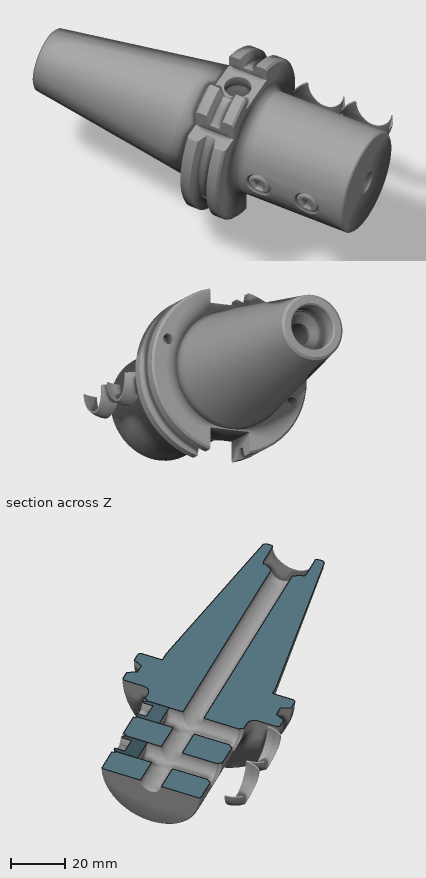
import cadquery as cq
import math

TOTAL_LENGTH = 133.4

TAPER_LENGTH = 68.5
GAUGE_RADIUS = 22.3
TAPER_SLOPE = 7 / 48
TAPER_END_CHAMFER = 0.8

FLANGE_START = 71.6
FLANGE_WIDTH = 15.7
FLANGE_RADIUS = 31.7
FLANGE_CHAMFER = 0.8
GROOVE_RADIUS = 28.1
GROOVE_FLOOR_WIDTH = 3.6
GROOVE_MOUTH_WIDTH = 6.8

SLOT_WIDTH = 16.0
UPPER_SLOT_FLOOR = 25.1
LOWER_SLOT_FLOOR = 22.5
NOTCH_OFFSET = 18.5
CHIP_RADIUS = 5.1
CHIP_DEPTH = 4.5

COOLANT_RADIUS = 2.0
COOLANT_DEPTH = 5.3
COOLANT_Y = 25.3
COOLANT_Z = 9.3
COOLANT_OUTLET_RADIUS = 1.6

NOSE_RADIUS = 20.0
NECK_FILLET = 3.0
NOSE_CHAMFER = 0.5

PILOT_RADIUS = 8.5
PILOT_CHAMFER = 0.5
PILOT_DEPTH = 9.3
RELIEF_RADIUS = 8.3
RELIEF_DEPTH = 10.1
DRILL_RADIUS = 7.1
THROUGH_RADIUS = 4.1

DRILL_HALF_ANGLE = 59

SCREW_PITCH = 20.0
FIRST_SCREW_X = 98.5
SCREW_COUNT = 2
SCREW_RADIUS = 4.4
SCREW_CHAMFER = 0.7
SCREW_LENGTH = 10.0
SCREW_FACE_Y = -19.7
SINK_RADIUS = 5.2
SINK_DEPTH = 0.8
HEX_ACROSS_FLATS = 5.1
HEX_DEPTH = 4.0

CUP_RADIUS = 10.1
CUP_WALL = 0.5
CUP_BASE_Y = 27.7
CUP_OUTER_RADIUS = 34.0

FLANGE_END = FLANGE_START + FLANGE_WIDTH
FLANGE_MIDDLE = FLANGE_START + FLANGE_WIDTH / 2
SCREW_CENTRES = [FIRST_SCREW_X + i * SCREW_PITCH for i in range(SCREW_COUNT)]


def cylinder(radius, length, start, direction):
    return cq.Workplane(cq.Solid.makeCylinder(radius, length, cq.Vector(*start), cq.Vector(*direction)))


def cone(start_radius, end_radius, length, start, direction):
    return cq.Workplane(
        cq.Solid.makeCone(start_radius, end_radius, length, cq.Vector(*start), cq.Vector(*direction))
    )


def revolved_about_x(points):
    return cq.Workplane("XY").polyline(points).close().revolve(360, (0, 0, 0), (1, 0, 0))


def drill_point_length(radius):
    return radius / math.tan(math.radians(DRILL_HALF_ANGLE))


def outer_form():
    small_radius = GAUGE_RADIUS - TAPER_LENGTH * TAPER_SLOPE
    groove_floor = GROOVE_FLOOR_WIDTH / 2
    groove_mouth = GROOVE_MOUTH_WIDTH / 2
    rim = FLANGE_RADIUS - FLANGE_CHAMFER
    fillet_drop = NECK_FILLET * math.sqrt(0.5)
    profile = (
        cq.Workplane("XY")
        .moveTo(0, 0)
        .lineTo(0, small_radius - TAPER_END_CHAMFER)
        .lineTo(TAPER_END_CHAMFER, small_radius + TAPER_END_CHAMFER * TAPER_SLOPE)
        .lineTo(TAPER_LENGTH, GAUGE_RADIUS)
        .lineTo(FLANGE_START, GAUGE_RADIUS)
        .lineTo(FLANGE_START, rim)
        .lineTo(FLANGE_START + FLANGE_CHAMFER, FLANGE_RADIUS)
        .lineTo(FLANGE_MIDDLE - groove_mouth, FLANGE_RADIUS)
        .lineTo(FLANGE_MIDDLE - groove_floor, GROOVE_RADIUS)
        .lineTo(FLANGE_MIDDLE + groove_floor, GROOVE_RADIUS)
        .lineTo(FLANGE_MIDDLE + groove_mouth, FLANGE_RADIUS)
        .lineTo(FLANGE_END - FLANGE_CHAMFER, FLANGE_RADIUS)
        .lineTo(FLANGE_END, rim)
        .lineTo(FLANGE_END, NOSE_RADIUS + NECK_FILLET)
        .threePointArc(
            (FLANGE_END + NECK_FILLET - fillet_drop, NOSE_RADIUS + NECK_FILLET - fillet_drop),
            (FLANGE_END + NECK_FILLET, NOSE_RADIUS),
        )
        .lineTo(TOTAL_LENGTH - NOSE_CHAMFER, NOSE_RADIUS)
        .lineTo(TOTAL_LENGTH, NOSE_RADIUS - NOSE_CHAMFER)
        .lineTo(TOTAL_LENGTH, 0)
        .close()
    )
    return profile.revolve(360, (0, 0, 0), (1, 0, 0))


def axial_bore():
    cone_length = drill_point_length(DRILL_RADIUS - THROUGH_RADIUS)
    return revolved_about_x([
        (0, 0),
        (0, PILOT_RADIUS + PILOT_CHAMFER),
        (PILOT_CHAMFER, PILOT_RADIUS),
        (PILOT_DEPTH, PILOT_RADIUS),
        (PILOT_DEPTH, RELIEF_RADIUS),
        (RELIEF_DEPTH, RELIEF_RADIUS),
        (RELIEF_DEPTH, DRILL_RADIUS),
        (RELIEF_DEPTH + cone_length, THROUGH_RADIUS),
        (TOTAL_LENGTH, THROUGH_RADIUS),
        (TOTAL_LENGTH, 0),
    ])


def flange_block(y_min, y_max, z_min, z_max):
    block = cq.Workplane("XY").box(FLANGE_WIDTH, y_max - y_min, z_max - z_min, centered=False)
    return block.translate((FLANGE_START, y_min, z_min))


def flange_cutouts():
    half_slot = SLOT_WIDTH / 2
    upper_slot = flange_block(-half_slot, half_slot, UPPER_SLOT_FLOOR, FLANGE_RADIUS)
    lower_slot = flange_block(-half_slot, half_slot, -FLANGE_RADIUS, -LOWER_SLOT_FLOOR)
    notch = flange_block(-FLANGE_RADIUS, -NOTCH_OFFSET, NOTCH_OFFSET, FLANGE_RADIUS)
    chip_pocket = cylinder(CHIP_RADIUS, CHIP_DEPTH, (FLANGE_MIDDLE, 0, UPPER_SLOT_FLOOR), (0, 0, -1))
    return [upper_slot, lower_slot, notch, chip_pocket]


def coolant_hole(side):
    """Blind drilled hole from the flange face, whose point meets a cross outlet in the groove floor."""
    y = side * COOLANT_Y
    z = side * COOLANT_Z
    inlet = cylinder(COOLANT_RADIUS, COOLANT_DEPTH, (FLANGE_START, y, z), (1, 0, 0))
    point = cone(
        COOLANT_RADIUS,
        0,
        drill_point_length(COOLANT_RADIUS),
        (FLANGE_START + COOLANT_DEPTH, y, z),
        (1, 0, 0),
    )
    outlet = cylinder(
        COOLANT_OUTLET_RADIUS, FLANGE_RADIUS - COOLANT_Y, (FLANGE_MIDDLE, y, z), (0, side, 0)
    )
    return inlet.union(point).union(outlet)


def screw_hole(x):
    """Cross hole right through the nose, counterbored and then tapered in at both ends."""
    hole = cylinder(SCREW_RADIUS, 2 * NOSE_RADIUS, (x, -NOSE_RADIUS, 0), (0, 1, 0))
    for side in (-1, 1):
        inward = (0, -side, 0)
        counterbore = cylinder(SINK_RADIUS, SINK_DEPTH, (x, side * NOSE_RADIUS, 0), inward)
        taper = cone(
            SINK_RADIUS,
            SCREW_RADIUS,
            SINK_RADIUS - SCREW_RADIUS,
            (x, side * (NOSE_RADIUS - SINK_DEPTH), 0),
            inward,
        )
        hole = hole.union(counterbore).union(taper)
    return hole


def make_holder():
    holder = outer_form().cut(axial_bore())
    for cutout in flange_cutouts():
        holder = holder.cut(cutout)
    for side in (-1, 1):
        holder = holder.cut(coolant_hole(side))
    for x in SCREW_CENTRES:
        holder = holder.cut(screw_hole(x))
    return holder


def make_screw(x):
    """Set screw with a chamfered outer face and a hexagon socket."""
    screw = cylinder(SCREW_RADIUS, SCREW_LENGTH, (x, SCREW_FACE_Y, 0), (0, 1, 0))
    screw = screw.faces("<Y").edges().chamfer(SCREW_CHAMFER)
    across_corners = HEX_ACROSS_FLATS / math.cos(math.radians(30))
    socket = (
        cq.Workplane("XZ", origin=(x, SCREW_FACE_Y, 0))
        .polygon(6, across_corners)
        .extrude(-HEX_DEPTH)
    )
    return screw.cut(socket)


def make_cup_pair():
    """Two half cups with spherical walls, joined where they meet and trimmed to one outer cylinder."""
    balls = cq.Workplane("XY").pushPoints([(x, CUP_BASE_Y) for x in SCREW_CENTRES])
    walls = balls.sphere(CUP_RADIUS).cut(balls.sphere(CUP_RADIUS - CUP_WALL))
    bar = cylinder(CUP_OUTER_RADIUS, TOTAL_LENGTH, (0, 0, 0), (1, 0, 0))
    below = cq.Workplane("XY").box(TOTAL_LENGTH, CUP_OUTER_RADIUS, CUP_OUTER_RADIUS, centered=False)
    below = below.translate((0, CUP_BASE_Y, -CUP_OUTER_RADIUS))
    return walls.intersect(bar.intersect(below))


holder = make_holder()
screws = [make_screw(x) for x in SCREW_CENTRES]
cup_pair = make_cup_pair()

result = cq.Compound.makeCompound([
    holder.val(),
    *[screw.val() for screw in screws],
    *cup_pair.vals(),
])